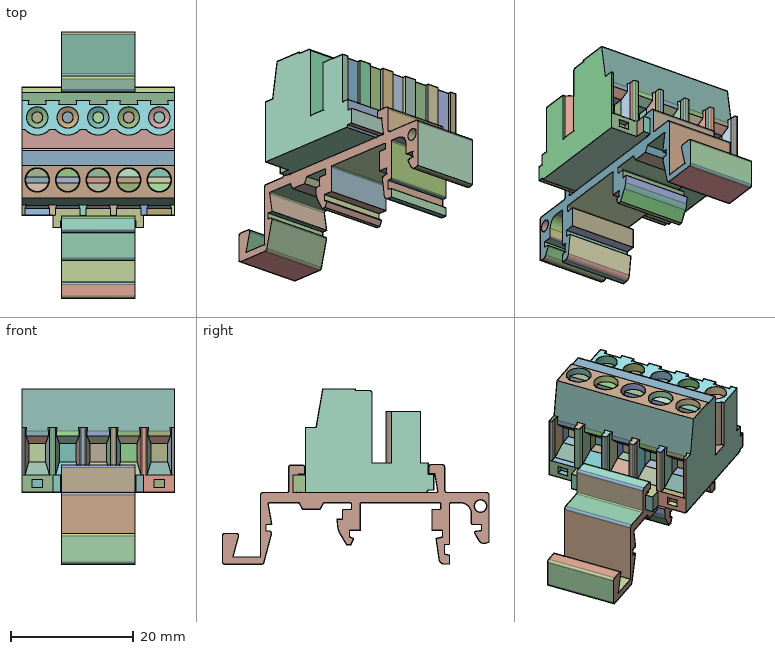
import cadquery as cq
import math


POLES = 5
PITCH = 5.0
BLOCK_WIDTH = POLES * PITCH
FOOT_WIDTH = 12.1
FOOT_LENGTH = 43.7
BLOCK_TOP = 17.0
FOOT_BOTTOM = -11.8

DECK_BOTTOM = -1.7
DECK_END = 37.47
LEG_NOTCH = -2.77
RAIL_LEDGE = -5.25
LEG_LEDGE = -6.22
BARB_LEVEL = -7.28
BARB_SLOPE_DROP = 0.27
LEG_THICKNESS = 1.46
TIP_ROUND = 0.15
SMALL_ROUND = 0.2
EDGE_ROUND = 0.4
CLIP_ROUND = 0.5
TOE_ROUND = 0.9
SWING_ROUND = 1.75
HINGE_DEPTH = 1.4
HINGE_HEIGHT = -2.22
HINGE_DIAMETER = 2.0

REAR_CLIP_BACK = 7.25
REAR_CLIP_TIP = 9.85
REAR_CLIP_TOP = 4.6
REAR_CLIP_UNDERSIDE = 3.1
FRONT_CLIP_TIP = 30.2
FRONT_CLIP_FACE = 32.86
FRONT_CLIP_TOP = 4.5
FRONT_CLIP_UNDERSIDE = 3.0

BLOCK_REAR = 9.95
BLOCK_FRONT = 30.1
BASE_REAR = 10.25
TOE_ROOT = 10.0
TOE_REAR = 9.05
TOE_BOTTOM = 0.37
TOE_TOP = 3.0
TROUGH_FLOOR = 4.85
PLUG_REAR = 11.23
PLUG_FRONT = 16.0
PLUG_TOP = 13.3
HOUSING_REAR = 19.15
HOUSING_STEP = 21.92
HOUSING_STEP_DROP = 0.27
HOUSING_CHAMFER = 0.3
HOUSING_CREST = 27.27
SLOPE_FOOT = 28.36
FIN_TOP = 10.68

BULGE_WIDTH = 4.06
BULGE_HEIGHT = 0.92
TEST_DEPTH = 14.03
TEST_DIAMETER = 3.5
TEST_TIP_DIAMETER = 1.8
TEST_STRAIGHT = 1.5
TEST_CONE = 0.4
GROOVE_MOUTH = 2.75
GROOVE_BASE = 2.95
GROOVE_DEPTH = 0.67

SCREW_DEPTH = 24.28
SCREW_HOLE_DIAMETER = 4.0
SCREW_HEAD_DIAMETER = 3.8
SCREW_RECESS = 1.1
SCREW_HEAD_HEIGHT = 1.5
SLOT_WIDTH = 0.93
SLOT_DEPTH = 1.0

ENTRY_SILL = 2.9
ENTRY_SILL_REAR = 28.96
ENTRY_HALF_WIDTH = 2.0
ENTRY_LIP_BOTTOM = 9.25
ENTRY_LIP_TOP = 10.05
WIRE_FACE = 27.3
WIRE_WIDTH = 2.75
WIRE_BOTTOM = 5.0
WIRE_TOP = 8.05
WIRE_HOLE_DEPTH = 2.0
FIN_EDGE_ROUND = 0.25

LEDGE_HALF_WIDTH = 7.45
LEDGE_FRONT = 32.1
LEDGE_NOTCH_REAR = 31.0
LEDGE_CLEARANCE = 0.1

WINDOW_WIDTH = 1.75
WINDOW_BOTTOM = 0.8
WINDOW_TOP = 2.1
WINDOW_DEPTH = 1.0

OVERCUT = 1.0
POLE_X = [(pole - (POLES - 1) / 2) * PITCH for pole in range(POLES)]


def side_plane():
    """Plane whose local x is depth toward -Y and whose local y is height."""
    return cq.Plane(origin=(0, 0, 0), xDir=(0, -1, 0), normal=(-1, 0, 0))


def rounded_outline(plane, corners):
    """Closed outline of (x, y) or (x, y, radius) corners, rounded by tangent arcs."""
    stretches = []
    for index, corner in enumerate(corners):
        here = cq.Vector(corner[0], corner[1])
        radius = corner[2] if len(corner) > 2 else 0
        if not radius:
            stretches.append((here,))
            continue
        before = corners[index - 1]
        after = corners[(index + 1) % len(corners)]
        to_before = (cq.Vector(before[0], before[1]) - here).normalized()
        to_after = (cq.Vector(after[0], after[1]) - here).normalized()
        half_angle = to_before.getAngle(to_after) / 2
        setback = radius / math.tan(half_angle)
        bisector = (to_before + to_after).normalized()
        middle = here + bisector * (radius / math.sin(half_angle) - radius)
        stretches.append((here + to_before * setback, middle, here + to_after * setback))

    sketch = cq.Workplane(plane).moveTo(stretches[0][-1].x, stretches[0][-1].y)
    for stretch in stretches[1:] + stretches[:1]:
        sketch = sketch.lineTo(stretch[0].x, stretch[0].y)
        if len(stretch) > 1:
            sketch = sketch.threePointArc(stretch[1].toTuple()[:2], stretch[2].toTuple()[:2])
    return sketch.close()


def box(x_range, depth_range, z_range):
    """Block between the given limits along X, depth and Z."""
    size = [limits[1] - limits[0] for limits in (x_range, depth_range, z_range)]
    return cq.Workplane("XY").box(*size, centered=False).translate(
        (x_range[0], -depth_range[1], z_range[0])
    )


def rear_foot_corners():
    """Swinging rear foot with its rail groove and hooked toe."""
    front_face = 2.92
    groove_face = 1.27
    toe_tip = 2.45
    toe_top = -6.22
    toe_edge = 2.2
    toe_edge_level = -6.35
    toe_tip_level = -6.55
    sole_depth = 1.25
    sole_level = -8.55
    back_bottom = -8.15
    return [
        (0, 0, EDGE_ROUND),
        (0, back_bottom),
        (sole_depth, sole_level, TOE_ROUND),
        (toe_tip, toe_tip_level, TIP_ROUND),
        (toe_edge, toe_edge_level),
        (groove_face, toe_top),
        (groove_face, RAIL_LEDGE),
        (front_face, RAIL_LEDGE, SMALL_ROUND),
        (front_face, DECK_BOTTOM, SWING_ROUND),
    ]


def rear_leg_corners():
    """Long leg behind the rail, with a rail stop and a latch at its tip."""
    back_face = 6.46
    front_face = back_face + LEG_THICKNESS
    stop_face = 9.37
    latch_face = 7.27
    latch_top = -8.55
    latch_bottom = -10.1
    latch_slope_drop = 0.17
    barb_tip = 8.7
    barb_root = 7.65
    toe_depth = 8.1
    leg_bottom = -11.75
    return [
        (back_face, DECK_BOTTOM, SMALL_ROUND),
        (back_face, latch_top, SMALL_ROUND),
        (latch_face, latch_top),
        (latch_face, latch_bottom),
        (back_face, latch_bottom - latch_slope_drop),
        (back_face, leg_bottom),
        (toe_depth, leg_bottom, TOE_ROUND),
        (barb_tip, BARB_LEVEL - BARB_SLOPE_DROP),
        (barb_root, BARB_LEVEL),
        (barb_root, LEG_LEDGE),
        (stop_face, LEG_LEDGE),
        (stop_face, LEG_NOTCH),
        (front_face, LEG_NOTCH, SMALL_ROUND),
        (front_face, DECK_BOTTOM, SMALL_ROUND),
    ]


def middle_leg_corners():
    """Short middle leg ending in a hook that points to the rear."""
    back_face = 21.1
    front_face = back_face + LEG_THICKNESS
    barb_root = 22.85
    barb_tip = 22.15
    shoulder_face = 24.03
    belly_face = 24.95
    belly_top = -4.35
    belly_bend_depth = 24.75
    belly_bend_level = -6.2
    belly_round = 2.5
    toe_rear = 22.65
    toe_front = 23.35
    leg_bottom = -8.57
    return [
        (back_face, DECK_BOTTOM, SMALL_ROUND),
        (back_face, LEG_LEDGE),
        (barb_root, LEG_LEDGE),
        (barb_root, BARB_LEVEL),
        (barb_tip, BARB_LEVEL - BARB_SLOPE_DROP, TIP_ROUND),
        (toe_rear, leg_bottom),
        (toe_front, leg_bottom),
        (belly_bend_depth, belly_bend_level, belly_round),
        (belly_face, belly_top),
        (shoulder_face, belly_top),
        (shoulder_face, LEG_NOTCH, SMALL_ROUND),
        (front_face, LEG_NOTCH, SMALL_ROUND),
        (front_face, DECK_BOTTOM, SMALL_ROUND),
    ]


def rib_corners():
    """Tapered stiffening rib under the deck."""
    rib_rear = 27.1
    rib_front = 31.15
    flank_run = 0.58
    return [
        (rib_rear, DECK_BOTTOM),
        (rib_rear + flank_run, LEG_NOTCH),
        (rib_front - flank_run, LEG_NOTCH),
        (rib_front, DECK_BOTTOM),
    ]


def front_foot_corners():
    """Front foot with the fixed rail groove and the release hook."""
    inner_face = 36.22
    groove_face = 36.55
    groove_bottom = -6.3
    groove_edge = 35.6
    bevel_run = 0.35
    upper_bevel_rise = 0.05
    lower_bevel_drop = 0.3
    heel = 36.98
    heel_round = 0.5
    hook_top = -6.7
    hook_tip = 40.92
    hook_root = 41.97
    hook_floor = -10.57
    return [
        (inner_face, DECK_BOTTOM, SMALL_ROUND),
        (groove_edge, RAIL_LEDGE + upper_bevel_rise),
        (groove_edge + bevel_run, RAIL_LEDGE),
        (groove_face, RAIL_LEDGE),
        (groove_face, groove_bottom),
        (groove_edge + bevel_run, groove_bottom),
        (groove_edge, groove_bottom - lower_bevel_drop, TIP_ROUND),
        (heel, FOOT_BOTTOM, heel_round),
        (FOOT_LENGTH, FOOT_BOTTOM, EDGE_ROUND),
        (FOOT_LENGTH, hook_top, EDGE_ROUND),
        (hook_tip, hook_top, EDGE_ROUND),
        (hook_root, hook_floor),
        (DECK_END, hook_floor),
        (DECK_END, 0, EDGE_ROUND),
    ]


def front_clip_corners():
    """Upright wall and rearward lip that hold the front ledge of the block."""
    inner_top = 31.2
    inner_foot = 31.65
    return [
        (FRONT_CLIP_FACE, 0, SMALL_ROUND),
        (FRONT_CLIP_FACE, FRONT_CLIP_TOP, EDGE_ROUND),
        (FRONT_CLIP_TIP, FRONT_CLIP_TOP, EDGE_ROUND),
        (FRONT_CLIP_TIP, FRONT_CLIP_UNDERSIDE),
        (inner_top, FRONT_CLIP_UNDERSIDE),
        (inner_foot, 0, SMALL_ROUND),
    ]


def rear_clip_corners():
    """Upright wall and forward lip that hold the rear toe of the block."""
    inner_top = 8.9
    inner_foot = 8.4
    return [
        (inner_foot, 0, SMALL_ROUND),
        (inner_top, REAR_CLIP_UNDERSIDE),
        (REAR_CLIP_TIP, REAR_CLIP_UNDERSIDE),
        (REAR_CLIP_TIP, REAR_CLIP_TOP, EDGE_ROUND),
        (REAR_CLIP_BACK, REAR_CLIP_TOP, CLIP_ROUND),
        (REAR_CLIP_BACK, 0, EDGE_ROUND),
    ]


def make_foot():
    """Foot outline extruded over its width, with the hinge hole through the rear."""
    corners = rear_foot_corners() + rear_leg_corners() + middle_leg_corners() + rib_corners()
    corners += front_foot_corners() + front_clip_corners() + rear_clip_corners()
    foot = rounded_outline(side_plane(), corners).extrude(FOOT_WIDTH / 2, both=True)
    hinge_hole = (
        cq.Workplane(side_plane())
        .center(HINGE_DEPTH, HINGE_HEIGHT)
        .circle(HINGE_DIAMETER / 2)
        .extrude(FOOT_WIDTH, both=True)
    )
    return foot.cut(hinge_hole)


def make_block_body():
    """Side outline of the terminal block, extruded over its full width."""
    rear_top = BLOCK_TOP - HOUSING_STEP_DROP
    corners = [
        (BASE_REAR, 0),
        (TOE_ROOT, TOE_BOTTOM),
        (TOE_REAR, TOE_BOTTOM),
        (TOE_REAR, TOE_TOP),
        (BLOCK_REAR, TOE_TOP),
        (BLOCK_REAR, TROUGH_FLOOR),
        (PLUG_REAR, TROUGH_FLOOR),
        (PLUG_REAR, PLUG_TOP),
        (PLUG_FRONT, PLUG_TOP),
        (PLUG_FRONT, TROUGH_FLOOR),
        (HOUSING_REAR, TROUGH_FLOOR),
        (HOUSING_REAR, rear_top - HOUSING_CHAMFER),
        (HOUSING_REAR + HOUSING_CHAMFER, rear_top),
        (HOUSING_STEP, rear_top),
        (HOUSING_STEP, BLOCK_TOP),
        (HOUSING_CREST, BLOCK_TOP),
        (SLOPE_FOOT, FIN_TOP),
        (BLOCK_FRONT, FIN_TOP),
        (BLOCK_FRONT, 0),
    ]
    return rounded_outline(side_plane(), corners).extrude(BLOCK_WIDTH / 2, both=True)


def make_plug_bulge(x):
    """Rounded swelling on the front of the plug row."""
    return (
        cq.Workplane("XY", origin=(x, -PLUG_FRONT, TROUGH_FLOOR))
        .moveTo(-BULGE_WIDTH / 2, 0)
        .threePointArc((0, -BULGE_HEIGHT), (BULGE_WIDTH / 2, 0))
        .close()
        .extrude(PLUG_TOP - TROUGH_FLOOR)
    )


def make_test_hole(x):
    """Straight bore that narrows in a cone at its bottom."""
    radius = TEST_DIAMETER / 2
    cone_bottom = -TEST_STRAIGHT - TEST_CONE
    return (
        cq.Workplane("XZ")
        .moveTo(0, 0)
        .lineTo(radius, 0)
        .lineTo(radius, -TEST_STRAIGHT)
        .lineTo(TEST_TIP_DIAMETER / 2, cone_bottom)
        .lineTo(0, cone_bottom)
        .close()
        .revolve(360, (0, 0, 0), (0, 1, 0))
        .translate((x, -TEST_DEPTH, PLUG_TOP))
    )


def make_coding_groove(x):
    """Dovetail groove down the rear face of the plug row."""
    return (
        cq.Workplane("XY", origin=(x, -PLUG_REAR, TROUGH_FLOOR))
        .polyline([
            (-GROOVE_MOUTH / 2, 0),
            (GROOVE_MOUTH / 2, 0),
            (GROOVE_BASE / 2, -GROOVE_DEPTH),
            (-GROOVE_BASE / 2, -GROOVE_DEPTH),
        ])
        .close()
        .extrude(PLUG_TOP - TROUGH_FLOOR)
    )


def make_screw_recess(x):
    """Screw hole less the slotted screw head that stands in it."""
    head_top = BLOCK_TOP - SCREW_RECESS
    head_bottom = head_top - SCREW_HEAD_HEIGHT
    hole = (
        cq.Workplane("XY", origin=(x, -SCREW_DEPTH, head_bottom))
        .circle(SCREW_HOLE_DIAMETER / 2)
        .extrude(BLOCK_TOP - head_bottom)
    )
    head = (
        cq.Workplane("XY", origin=(x, -SCREW_DEPTH, head_bottom))
        .circle(SCREW_HEAD_DIAMETER / 2)
        .extrude(SCREW_HEAD_HEIGHT)
    )
    slot = box(
        (x - SCREW_HEAD_DIAMETER, x + SCREW_HEAD_DIAMETER),
        (SCREW_DEPTH - SLOT_WIDTH / 2, SCREW_DEPTH + SLOT_WIDTH / 2),
        (head_top - SLOT_DEPTH, head_top),
    )
    return hole.cut(head.cut(slot))


def make_wire_entry(x):
    """Funnel between two fins, narrowing to a rectangular wire hole."""
    slope_run = (SLOPE_FOOT - HOUSING_CREST) / (BLOCK_TOP - FIN_TOP)
    lip_depth = SLOPE_FOOT + slope_run * (FIN_TOP - ENTRY_LIP_TOP)
    outside = BLOCK_FRONT + OVERCUT
    side_outline = [
        (outside, ENTRY_SILL),
        (ENTRY_SILL_REAR, ENTRY_SILL),
        (WIRE_FACE, WIRE_BOTTOM),
        (WIRE_FACE, WIRE_TOP),
        (lip_depth, ENTRY_LIP_BOTTOM),
        (lip_depth, ENTRY_LIP_TOP),
        (SLOPE_FOOT, FIN_TOP),
        (outside, FIN_TOP),
    ]
    side_prism = cq.Workplane(side_plane()).polyline(side_outline).close().extrude(PITCH, both=True)

    mouth = PITCH / 2
    plan = [
        (-WIRE_WIDTH / 2, -WIRE_FACE),
        (-ENTRY_HALF_WIDTH, -ENTRY_SILL_REAR),
        (-ENTRY_HALF_WIDTH, -BLOCK_FRONT, FIN_EDGE_ROUND),
        (-mouth, -BLOCK_FRONT),
        (-mouth, -outside),
        (mouth, -outside),
        (mouth, -BLOCK_FRONT),
        (ENTRY_HALF_WIDTH, -BLOCK_FRONT, FIN_EDGE_ROUND),
        (ENTRY_HALF_WIDTH, -ENTRY_SILL_REAR),
        (WIRE_WIDTH / 2, -WIRE_FACE),
    ]
    plan_prism = rounded_outline(cq.Plane.XY(), plan).extrude(BLOCK_TOP)
    wire_hole = box(
        (-WIRE_WIDTH / 2, WIRE_WIDTH / 2),
        (WIRE_FACE - WIRE_HOLE_DEPTH, WIRE_FACE),
        (WIRE_BOTTOM, WIRE_TOP),
    )
    return side_prism.intersect(plan_prism).union(wire_hole).translate((x, 0, 0))


def make_window(x):
    """Shallow rectangular window below a wire entry."""
    return box(
        (x - WINDOW_WIDTH / 2, x + WINDOW_WIDTH / 2),
        (BLOCK_FRONT - WINDOW_DEPTH, BLOCK_FRONT),
        (WINDOW_BOTTOM, WINDOW_TOP),
    )


def make_front_ledge():
    """Ledge on the block front, notched where the front clip stands."""
    ledge = box((-LEDGE_HALF_WIDTH, LEDGE_HALF_WIDTH), (BLOCK_FRONT, LEDGE_FRONT), (0, ENTRY_SILL))
    notch_half_width = FOOT_WIDTH / 2 + LEDGE_CLEARANCE
    notch = box(
        (-notch_half_width, notch_half_width),
        (LEDGE_NOTCH_REAR, LEDGE_FRONT),
        (0, ENTRY_SILL),
    )
    return ledge.cut(notch)


def make_block():
    """Terminal block with all features of its poles."""
    block = make_block_body()
    for x in POLE_X:
        block = block.union(make_plug_bulge(x))
    for x in POLE_X:
        block = block.cut(make_test_hole(x))
        block = block.cut(make_coding_groove(x))
        block = block.cut(make_screw_recess(x))
        block = block.cut(make_wire_entry(x))
    for x in (POLE_X[0], POLE_X[-1]):
        block = block.cut(make_window(x))
    return block.union(make_front_ledge())


result = make_foot().union(make_block())